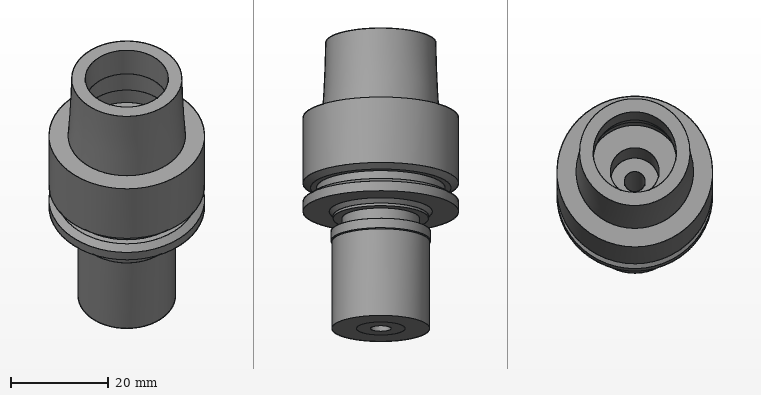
import cadquery as cq

total_height = 61.0
shoulder_z = 44.95
groove_top_z = 31.0
groove_bottom_z = 27.0
groove_chamfer_height = 1.0
flange_bottom_z = 24.95
cone_bottom_z = 24.05
collar_bottom_z = 23.5

shank_top_radius = 11.35
shank_middle_radius = 11.6
shank_base_radius = 12.1
flange_radius = 32.0 / 2
groove_rim_radius = 14.45
groove_core_radius = 13.25
cone_top_radius = 10.6
collar_radius = 9.8
neck_radius = 8.0

socket_radius = 8.55
undercut_radius = 9.45
relief_radius = 9.75
undercut_z = total_height - 6.65
relief_z = total_height - 12.1
socket_floor_z = total_height - 15.85

nut_radius = 10.05
rim_radius = 10.25
rim_top_z = 20.7
rim_bottom_z = 18.65
rim_chamfer = rim_radius - nut_radius
nut_nose_height = 4.9

collet_radius = 5.0
collet_hole_radius = 2.15
collet_top_z = 36.6


def cylinder(radius, bottom_z, top_z):
    """Cylinder on the Z axis between two heights."""
    return cq.Workplane("XY").workplane(offset=bottom_z).circle(radius).extrude(top_z - bottom_z)


def revolve_about_z(profile):
    """Full turn of an (r, z) profile drawn on the XZ plane."""
    return profile.close().revolve(360, (0, 0, 0), (0, 1, 0))


def make_holder():
    """Flanged holder with a flared shank, a gripper groove and a neck that enters the nut."""
    shank_middle_z = (total_height + shoulder_z) / 2
    outside = revolve_about_z(
        cq.Workplane("XZ")
        .moveTo(0, total_height)
        .lineTo(shank_top_radius, total_height)
        .threePointArc((shank_middle_radius, shank_middle_z), (shank_base_radius, shoulder_z))
        .lineTo(flange_radius, shoulder_z)
        .lineTo(flange_radius, groove_top_z)
        .lineTo(groove_rim_radius, groove_top_z - groove_chamfer_height)
        .lineTo(groove_core_radius, groove_top_z - groove_chamfer_height)
        .lineTo(groove_core_radius, groove_bottom_z + groove_chamfer_height)
        .lineTo(groove_rim_radius, groove_bottom_z + groove_chamfer_height)
        .lineTo(flange_radius, groove_bottom_z)
        .lineTo(flange_radius, flange_bottom_z)
        .lineTo(cone_top_radius, flange_bottom_z)
        .lineTo(collar_radius, cone_bottom_z)
        .lineTo(collar_radius, collar_bottom_z)
        .lineTo(neck_radius, collar_bottom_z)
        .lineTo(neck_radius, nut_nose_height)
        .lineTo(0, nut_nose_height)
    )
    socket_mouth = cylinder(socket_radius, undercut_z, total_height)
    undercut = cylinder(undercut_radius, relief_z, undercut_z)
    relief = cylinder(relief_radius, socket_floor_z, relief_z)
    collet_bore = cylinder(collet_radius, nut_nose_height, socket_floor_z)
    return outside.cut(socket_mouth).cut(undercut).cut(relief).cut(collet_bore)


def make_nut():
    """Clamping nut with a raised rim, bored for the holder neck and the collet."""
    outside = revolve_about_z(
        cq.Workplane("XZ")
        .moveTo(0, 0)
        .lineTo(nut_radius, 0)
        .lineTo(nut_radius, rim_bottom_z - rim_chamfer)
        .lineTo(rim_radius, rim_bottom_z)
        .lineTo(rim_radius, rim_top_z)
        .lineTo(0, rim_top_z)
    )
    neck_bore = cylinder(neck_radius, nut_nose_height, rim_top_z)
    collet_bore = cylinder(collet_radius, 0, nut_nose_height)
    return outside.cut(neck_bore).cut(collet_bore)


def make_collet():
    """Plain collet sleeve with a through hole."""
    return cylinder(collet_radius, 0, collet_top_z).cut(cylinder(collet_hole_radius, 0, collet_top_z))


holder = make_holder()
nut = make_nut()
collet = make_collet()

result = cq.Compound.makeCompound([holder.val(), nut.val(), collet.val()])